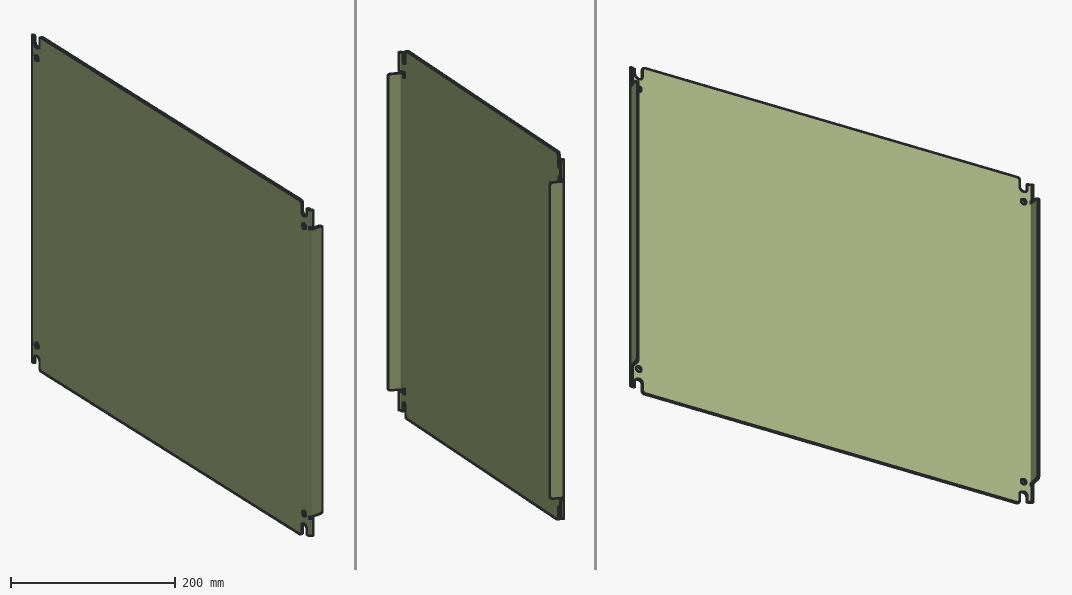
import cadquery as cq

width = 563.0
depth = 19.0
height = 462.0
thickness = 2.55
bend_radius = 4.0
half_width = width / 2
half_height = height / 2

slot_width = 10.5
slot_depth = 18.0
slot_inset = 12.5
plate_corner_radius = 3.5
hole_diameter = 7.5
hole_inset = 12.5
hole_drop = 32.0

flange_drop = 32.0
flange_corner_radius = 3.5
ear_drop = 5.5
ear_depth = 5.0
ear_corner_radius = 1.5
relief_width = 3.0
relief_depth = thickness

signs = (-1, 1)
flange_end = half_height - flange_drop
ear_end = half_height - ear_drop
slot_bottom = half_height - slot_depth
slot_inner_edge = half_width - slot_inset - slot_width / 2


def block(x_limits, y_limits, z_limits):
    """Box spanning the given limits along each axis."""
    limits = (x_limits, y_limits, z_limits)
    sizes = [high - low for low, high in limits]
    corner = tuple(low for low, high in limits)
    return cq.Workplane("XY").box(*sizes, centered=False).translate(corner)


def folded_channel():
    """Full-height sheet folded back along both sides."""
    outer = block((-half_width, half_width), (0, depth), (-half_height, half_height))
    outer = outer.edges("|Z and <Y").fillet(bend_radius)
    inner_half = half_width - thickness
    inner = block((-inner_half, inner_half), (thickness, depth), (-half_height, half_height))
    inner = inner.edges("|Z and <Y").fillet(bend_radius - thickness)
    return outer.cut(inner)


def plate_outline():
    """Sheet seen from the front: a tall centre with lower ears at the sides."""
    centre = block((-slot_inner_edge, slot_inner_edge), (0, depth), (-half_height, half_height))
    centre = centre.edges("|Y").fillet(plate_corner_radius)
    sides = block((-half_width, half_width), (0, depth), (-ear_end, ear_end))
    return centre.union(sides)


def side_outline():
    """Sheet seen from the side: front strip, ears and full-depth flanges."""
    strip = block((-half_width, half_width), (0, thickness), (-half_height, half_height))
    ears = block((-half_width, half_width), (0, ear_depth), (-ear_end, ear_end))
    ears = ears.edges("|X and >Y").fillet(ear_corner_radius)
    flanges = block((-half_width, half_width), (0, depth), (-flange_end, flange_end))
    flanges = flanges.edges("|X and >Y").fillet(flange_corner_radius)
    return strip.union(ears).union(flanges)


def mounting_slot(x_sign, z_sign):
    """Slot with a round bottom, open at the nearest end of the panel."""
    radius = slot_width / 2
    arc_centre = slot_bottom + radius
    x_centre = half_width - slot_inset
    slot = block((x_centre - radius, x_centre + radius), (0, depth), (arc_centre, half_height))
    bottom = cq.Workplane("XZ", origin=(x_centre, 0, arc_centre)).circle(radius).extrude(-depth)
    slot = slot.union(bottom)
    if x_sign < 0:
        slot = slot.mirror("YZ")
    if z_sign < 0:
        slot = slot.mirror("XY")
    return slot


def bend_relief(x_sign, z_sign):
    """Narrow cut separating an ear from the flange."""
    x_centre = x_sign * (half_width - relief_depth / 2)
    z_centre = z_sign * (flange_end + relief_width / 2)
    relief = cq.Workplane("XY").box(relief_depth, 2 * depth, relief_width)
    return relief.translate((x_centre, 0, z_centre))


def corner_hole(x_sign, z_sign):
    """Round hole through the plate below a mounting slot."""
    centre = (x_sign * (half_width - hole_inset), 0, z_sign * (half_height - hole_drop))
    return cq.Workplane("XZ", origin=centre).circle(hole_diameter / 2).extrude(-depth)


result = folded_channel().intersect(plate_outline()).intersect(side_outline())
for x_sign in signs:
    for z_sign in signs:
        result = result.cut(mounting_slot(x_sign, z_sign))
        result = result.cut(bend_relief(x_sign, z_sign))
        result = result.cut(corner_hole(x_sign, z_sign))